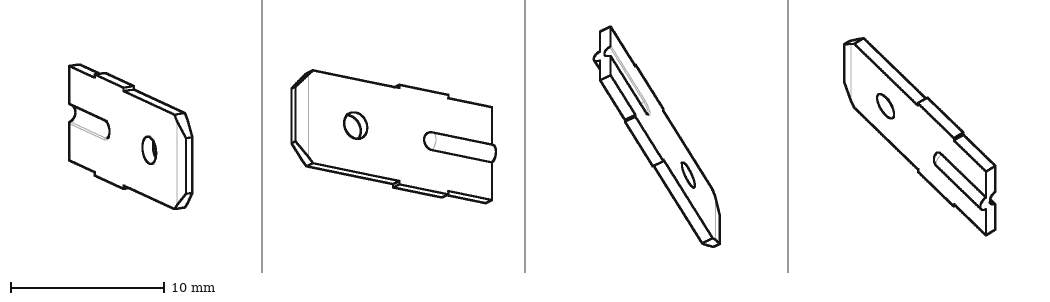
import cadquery as cq
import math

length = 15.24
thickness = 0.8
blade_height = 6.4

shoulder_height = 6.86
shoulder_start = 3.4
shoulder_end = 7.22

corner_start = 13.98
tip_height = 3.76
bevel_length = 0.91
bevel_depth = 0.15

hole_x = 10.64
hole_diameter = 1.8

bead_depth = 0.47
bead_radius = 0.632
bead_straight = 4.7
groove_lip_radius = 0.12


def make_blade():
    half = blade_height / 2
    half_tip = tip_height / 2
    outline = [
        (0, -half),
        (corner_start, -half),
        (length, -half_tip),
        (length, half_tip),
        (corner_start, half),
        (0, half),
    ]
    blade = cq.Workplane("XZ").polyline(outline).close().extrude(-thickness)
    shoulder = cq.Workplane("XY").box(
        shoulder_end - shoulder_start, thickness, shoulder_height, centered=(False, False, True)
    )
    return blade.union(shoulder.translate((shoulder_start, 0, 0)))


def make_tip_bevels():
    """Wedges that thin the tip from both faces."""
    wedges = cq.Workplane("XY")
    for face_y, inward in ((0, 1), (thickness, -1)):
        wedge = (
            cq.Workplane("XY")
            .polyline([
                (length - bevel_length, face_y),
                (length, face_y),
                (length, face_y + inward * bevel_depth),
            ])
            .close()
            .extrude(blade_height / 2, both=True)
        )
        wedges = wedges.add(wedge)
    return wedges.combine()


def make_hole():
    return cq.Workplane("XZ").center(hole_x, 0).circle(hole_diameter / 2).extrude(-thickness)


def sweep_bead(half_profile):
    """Run a half profile along the blade and revolve it into a rounded end.

    The profile is drawn on the YZ plane, from the bead's centre line toward +Z.
    """
    upper = cq.Workplane("YZ").add(half_profile).toPending().extrude(bead_straight)
    lower = upper.mirror("XY")
    rounded_end = cq.Workplane("YZ").add(half_profile).toPending().revolve(360, (0, 0, 0), (1, 0, 0))
    return upper.union(lower).union(rounded_end.translate((bead_straight, 0, 0)))


def make_ridge():
    centre_y = thickness + bead_depth - bead_radius
    half_width = math.sqrt(bead_radius**2 - (thickness - centre_y) ** 2)
    diagonal = bead_radius * math.sqrt(0.5)
    profile = (
        cq.Workplane("YZ")
        .moveTo(thickness, 0)
        .lineTo(thickness + bead_depth, 0)
        .threePointArc((centre_y + diagonal, diagonal), (thickness, half_width))
        .close()
        .val()
    )
    return sweep_bead(profile)


def make_groove():
    centre_y = bead_depth - bead_radius
    lip_y = groove_lip_radius
    centre_distance = bead_radius + groove_lip_radius
    lip_z = math.sqrt(centre_distance**2 - (lip_y - centre_y) ** 2)
    lip_angle = math.atan2(lip_z, lip_y - centre_y)

    def on_groove(angle):
        return (centre_y + bead_radius * math.cos(angle), bead_radius * math.sin(angle))

    middle_angle = lip_angle / 2 + math.pi
    lip_middle = (
        lip_y + groove_lip_radius * math.cos(middle_angle),
        lip_z + groove_lip_radius * math.sin(middle_angle),
    )
    profile = (
        cq.Workplane("YZ")
        .moveTo(0, 0)
        .lineTo(bead_depth, 0)
        .threePointArc(on_groove(lip_angle / 2), on_groove(lip_angle))
        .threePointArc(lip_middle, (0, lip_z))
        .close()
        .val()
    )
    return sweep_bead(profile)


result = make_blade().cut(make_tip_bevels()).cut(make_hole()).union(make_ridge()).cut(make_groove())